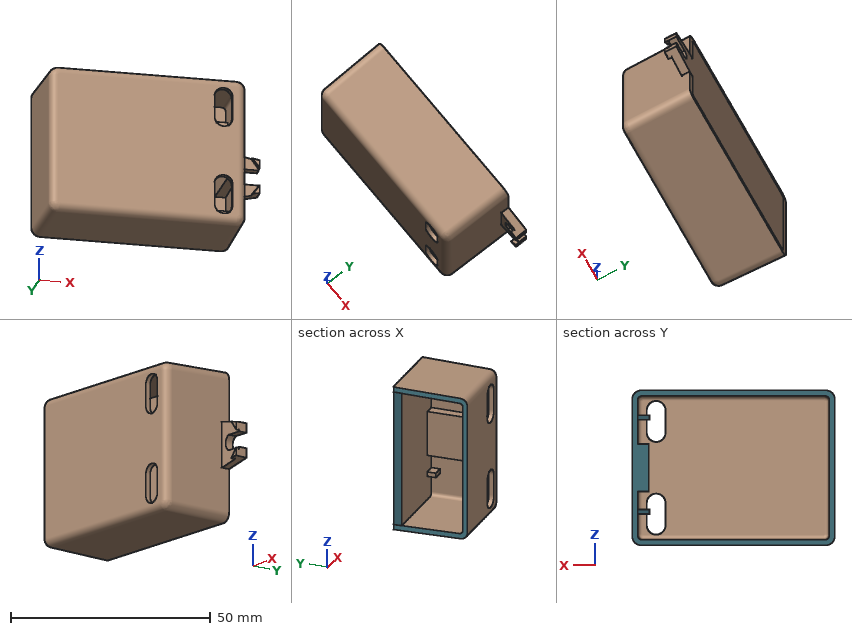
import cadquery as cq

LENGTH = 51.05
HEIGHT = 39.1
DEPTH = 20.0
DRAFT = 1.0
SIDE_EDGE_RADIUS = 2.3
FLOOR_EDGE_RADIUS = 2.0
WALL = 1.5
FLOOR = 1.35
CAVITY_SIDE_EDGE_RADIUS = 1.0
CAVITY_FLOOR_EDGE_RADIUS = 0.9

SLOT_WIDTH = 4.65
SLOT_HEIGHT = 10.2
SLOT_X = 19.4
SLOT_Z = 11.6

BLOCK_X = 21.2

PLATE_THICKNESS = 2.3
OVERALL_LENGTH = 58.1
TAB_TIP_X = OVERALL_LENGTH - LENGTH / 2
TAB_ROOT_HALF = 6.0
TAB_TIP_HALF = 4.5
FORK_WIDTH = 4.0
FORK_DEPTH = 5.6
FORK_ARC_DEPTH = 1.2

NIB_LENGTH = 2.0
NIB_BASE_WIDTH = 2.25
NIB_LEAN = 0.1
NIB_HEIGHT = 1.05

LUG_X = 21.05
LUG_WIDTH = 1.2
LUG_HEIGHT = 2.3
LUG_CENTRES_Z = (12.6, -11.05)

TAB_FRONT_Y = DEPTH - PLATE_THICKNESS


def box_between(x0, x1, y0, y1, z0, z1):
    """Axis-aligned block between the given limits."""
    return cq.Workplane("XY").box(x1 - x0, y1 - y0, z1 - z0, centered=False).translate((x0, y0, z0))


def drafted_block(length, height, depth, side_radius, floor_radius):
    """Block that narrows from the rim toward -Y, with rounded side edges and floor edges."""
    block = cq.Workplane("XZ", origin=(0, DEPTH, 0)).rect(length, height).extrude(depth, taper=DRAFT)
    side_edges = block.edges("not(#Y)")
    return side_edges.fillet(side_radius).faces("<Y").edges().fillet(floor_radius)


def make_cavity():
    """Inside of the housing, which the plate fills at the rim."""
    return drafted_block(
        LENGTH - 2 * WALL, HEIGHT - 2 * WALL, DEPTH - FLOOR, CAVITY_SIDE_EDGE_RADIUS, CAVITY_FLOOR_EDGE_RADIUS
    )


def make_tab():
    """Forked tab, reaching from inside the +X wall to its tip."""
    root_x = LENGTH / 2
    inner_x = root_x - 2 * WALL
    tab = (
        cq.Workplane("XZ", origin=(0, DEPTH, 0))
        .polyline([
            (inner_x, -TAB_ROOT_HALF),
            (root_x, -TAB_ROOT_HALF),
            (TAB_TIP_X, -TAB_TIP_HALF),
            (TAB_TIP_X, TAB_TIP_HALF),
            (root_x, TAB_ROOT_HALF),
            (inner_x, TAB_ROOT_HALF),
        ])
        .close()
        .extrude(PLATE_THICKNESS)
    )
    fork_bottom_x = TAB_TIP_X - FORK_DEPTH
    arc_start_x = fork_bottom_x + FORK_ARC_DEPTH
    fork = (
        cq.Workplane("XZ", origin=(0, DEPTH, 0))
        .moveTo(TAB_TIP_X, FORK_WIDTH / 2)
        .lineTo(arc_start_x, FORK_WIDTH / 2)
        .threePointArc((fork_bottom_x, 0), (arc_start_x, -FORK_WIDTH / 2))
        .lineTo(TAB_TIP_X, -FORK_WIDTH / 2)
        .close()
        .extrude(PLATE_THICKNESS)
    )
    return tab.cut(fork)


def nib_corners(lean):
    """Corners of the nib's triangle, with both long sides moved inward by the lean."""
    slope = (TAB_ROOT_HALF - TAB_TIP_HALF) / (TAB_TIP_X - LENGTH / 2)
    return [
        (TAB_TIP_X, TAB_TIP_HALF - lean),
        (TAB_TIP_X, TAB_TIP_HALF - NIB_BASE_WIDTH + lean),
        (TAB_TIP_X - NIB_LENGTH, TAB_TIP_HALF + slope * NIB_LENGTH - lean),
    ]


def make_nib():
    """Nib on the +Z corner of the tab's tip, slightly narrower at its free face."""
    return (
        cq.Workplane("XZ", origin=(0, TAB_FRONT_Y, 0))
        .polyline(nib_corners(0))
        .close()
        .workplane(offset=NIB_HEIGHT)
        .polyline(nib_corners(NIB_LEAN))
        .close()
        .loft(ruled=True)
    )


def make_housing(cavity):
    """Hollow housing with its two slots, the inner block and the notch for the tab."""
    outer = drafted_block(LENGTH, HEIGHT, DEPTH, SIDE_EDGE_RADIUS, FLOOR_EDGE_RADIUS)
    block = box_between(BLOCK_X, LENGTH / 2, FLOOR / 2, TAB_FRONT_Y, -TAB_ROOT_HALF, TAB_ROOT_HALF)
    slots = (
        cq.Workplane("XZ")
        .pushPoints([(SLOT_X, SLOT_Z), (SLOT_X, -SLOT_Z)])
        .slot2D(SLOT_HEIGHT, SLOT_WIDTH, 90)
        .extrude(-2 * FLOOR)
    )
    notch = box_between(LENGTH / 2 - 2 * WALL, LENGTH / 2, TAB_FRONT_Y, DEPTH, -TAB_ROOT_HALF, TAB_ROOT_HALF)
    return outer.cut(cavity.cut(block)).cut(slots).cut(notch)


def make_plate(cavity):
    """Plate that fills the rim, with its lugs, forked tab and nibs."""
    plate = box_between(-LENGTH / 2, LENGTH / 2, TAB_FRONT_Y, DEPTH, -HEIGHT / 2, HEIGHT / 2)
    for z in LUG_CENTRES_Z:
        lug = box_between(
            LUG_X, LENGTH / 2, TAB_FRONT_Y - LUG_HEIGHT, TAB_FRONT_Y, z - LUG_WIDTH / 2, z + LUG_WIDTH / 2
        )
        plate = plate.union(lug)
    nib = make_nib()
    return plate.intersect(cavity).union(make_tab()).union(nib).union(nib.mirror("XY"))


cavity = make_cavity()
housing = make_housing(cavity)
plate = make_plate(cavity)

result = cq.Compound.makeCompound([housing.val(), plate.val()])